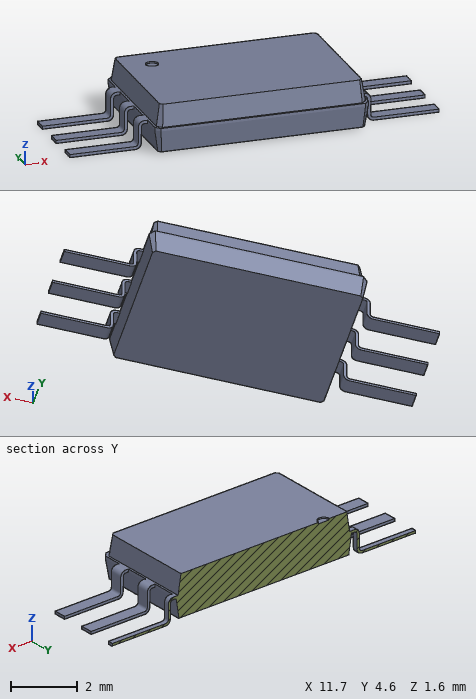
import cadquery as cq
import math

lead_span = 11.74
body_length = 6.8
body_width = 4.6
total_height = 1.6
body_bottom = 0.1

corner_chamfer = 0.15
upper_step = 0.075
draft_angle = 9.0

lead_thickness = 0.1
lead_width = 0.45
lead_pitch = 1.27
leads_per_side = 3
riser_outer_x = 3.7
inner_bend_radius = 0.1
outer_bend_radius = inner_bend_radius + lead_thickness

mark_diameter = 0.4
mark_depth = 0.05
mark_x = -2.32
mark_y = 1.22

parting_height = (total_height + body_bottom) / 2
band_bottom = parting_height - lead_thickness / 2
band_top = parting_height + lead_thickness / 2


def chamfered_block(length, width, bottom, height, taper=0.0):
    """Extruded rectangle with cut corners; a negative height extrudes downward."""
    half_length = length / 2
    half_width = width / 2
    inner_x = half_length - corner_chamfer
    inner_y = half_width - corner_chamfer
    outline = [
        (inner_x, half_width),
        (half_length, inner_y),
        (half_length, -inner_y),
        (inner_x, -half_width),
        (-inner_x, -half_width),
        (-half_length, -inner_y),
        (-half_length, inner_y),
        (-inner_x, half_width),
    ]
    profile = cq.Workplane("XY", origin=(0, 0, bottom)).polyline(outline).close()
    return profile.extrude(height, taper=taper)


def make_body():
    """Parting band with a drafted half above, set in by a small step, and a drafted half below."""
    band = chamfered_block(body_length, body_width, band_bottom, lead_thickness)
    lower = chamfered_block(body_length, body_width, band_bottom, body_bottom - band_bottom, draft_angle)
    upper = chamfered_block(
        body_length - 2 * upper_step,
        body_width - 2 * upper_step,
        band_top,
        total_height - band_top,
        draft_angle,
    )
    return band.union(lower).union(upper)


def make_lead(lead_y):
    """Gull-wing lead on the +X side: flat foot, riser, and a shoulder running into the body."""
    foot_end = lead_span / 2
    shoulder_end = body_length / 2 - corner_chamfer
    riser_inner_x = riser_outer_x - lead_thickness
    shoulder_tangent_x = riser_outer_x - outer_bend_radius
    foot_tangent_x = riser_outer_x + inner_bend_radius
    foot_bend_z = outer_bend_radius
    shoulder_bend_z = band_top - outer_bend_radius
    diagonal = math.sqrt(0.5)
    inner_reach = inner_bend_radius * diagonal
    outer_reach = outer_bend_radius * diagonal

    profile = (
        cq.Workplane("XZ", origin=(0, lead_y + lead_width / 2, 0))
        .moveTo(foot_end, 0)
        .lineTo(foot_end, lead_thickness)
        .lineTo(foot_tangent_x, lead_thickness)
        .threePointArc(
            (foot_tangent_x - inner_reach, foot_bend_z - inner_reach),
            (riser_outer_x, foot_bend_z),
        )
        .lineTo(riser_outer_x, shoulder_bend_z)
        .threePointArc(
            (shoulder_tangent_x + outer_reach, shoulder_bend_z + outer_reach),
            (shoulder_tangent_x, band_top),
        )
        .lineTo(shoulder_end, band_top)
        .lineTo(shoulder_end, band_bottom)
        .lineTo(shoulder_tangent_x, band_bottom)
        .threePointArc(
            (shoulder_tangent_x + inner_reach, shoulder_bend_z + inner_reach),
            (riser_inner_x, shoulder_bend_z),
        )
        .lineTo(riser_inner_x, foot_bend_z)
        .threePointArc(
            (foot_tangent_x - outer_reach, foot_bend_z - outer_reach),
            (foot_tangent_x, 0),
        )
        .close()
    )
    return profile.extrude(lead_width)


def make_pin_mark():
    """Shallow round recess in the top face next to pin 1."""
    return (
        cq.Workplane("XY", origin=(mark_x, mark_y, total_height))
        .circle(mark_diameter / 2)
        .extrude(-mark_depth)
    )


result = make_body()
for index in range(leads_per_side):
    lead_y = (index - (leads_per_side - 1) / 2) * lead_pitch
    lead = make_lead(lead_y)
    result = result.union(lead).union(lead.mirror("YZ"))
result = result.cut(make_pin_mark())